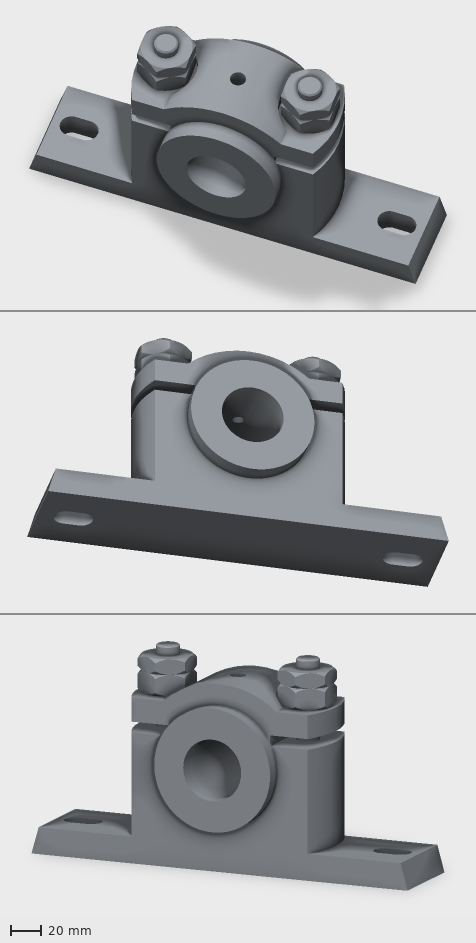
import cadquery as cq
import math


base_length = 272.2
base_height = 18.2
base_end_inset = 5.2
block_width = 60.0
slot_length = 26.5
slot_width = 15.8
slot_x = 112.0

block_half_length = 71.0
block_end_radius = 64.8
shaft_height = 71.3
housing_top = 88.7
cap_bottom = 96.0
cap_flat_top = 112.2
dome_top = 127.5
dome_radius = 63.5
dome_center = dome_top - dome_radius
tongue_width = 73.0
spotface_diameter = 42.0

bushing_length = 83.8
bushing_bore = 42.0
bushing_body_diameter = 57.2
flange_diameter = 83.8

oil_hole_diameter = 10.5
oil_duct_diameter = 7.5

stud_x = 50.5
stud_diameter = 16.0
stud_top = 144.0
stud_depth = 2 * stud_diameter
stud_bottom = housing_top - stud_depth
stud_chamfer = 1.0
nut_flats = 34.3
nut_corners = nut_flats / math.cos(math.pi / 6)
nut_offset_y = 1.0
main_nut_height = 14.7
lock_nut_height = 10.5


def upright_cylinder(diameter, bottom, top, x=0.0, y=0.0):
    return cq.Workplane("XY", origin=(x, y, bottom)).circle(diameter / 2).extrude(top - bottom)


def shaft_cylinder(diameter, length):
    """Cylinder on the shaft axis, centred on the block."""
    plane = cq.Workplane("XZ", origin=(0, length / 2, shaft_height))
    return plane.circle(diameter / 2).extrude(length)


def block_box(width, bottom, top):
    """Box across the full block width, centred on X = 0."""
    box = cq.Workplane("XY", origin=(0, 0, bottom))
    return box.rect(width, block_width).extrude(top - bottom)


def round_ended_block(bottom, top):
    """Block with flat faces along X and round ends."""
    half_width = block_width / 2
    end_sagitta = block_end_radius - math.sqrt(block_end_radius**2 - half_width**2)
    corner_x = block_half_length - end_sagitta
    return (
        cq.Workplane("XY", origin=(0, 0, bottom))
        .moveTo(-corner_x, -half_width)
        .lineTo(corner_x, -half_width)
        .threePointArc((block_half_length, 0), (corner_x, half_width))
        .lineTo(-corner_x, half_width)
        .threePointArc((-block_half_length, 0), (-corner_x, -half_width))
        .close()
        .extrude(top - bottom)
    )


def stud_holes():
    """Cutter for the close-fitting holes of both studs."""
    left = upright_cylinder(stud_diameter, stud_bottom, stud_top, -stud_x)
    return left.union(upright_cylinder(stud_diameter, stud_bottom, stud_top, stud_x))


def make_base_plate():
    half_bottom = base_length / 2
    half_top = half_bottom - base_end_inset
    plate = (
        cq.Workplane("XZ", origin=(0, block_width / 2, 0))
        .polyline([
            (-half_bottom, 0),
            (half_bottom, 0),
            (half_top, base_height),
            (-half_top, base_height),
        ])
        .close()
        .extrude(block_width)
    )
    slots = (
        cq.Workplane("XY")
        .pushPoints([(-slot_x, 0), (slot_x, 0)])
        .slot2D(slot_length, slot_width)
        .extrude(base_height)
    )
    return plate.cut(slots)


def make_housing():
    """Base and lower half of the block, with a notch for the tongue of the cap."""
    housing = make_base_plate().union(round_ended_block(0, housing_top))
    housing = housing.cut(block_box(tongue_width, shaft_height, housing_top))
    housing = housing.cut(shaft_cylinder(bushing_body_diameter, block_width))
    return housing.cut(stud_holes())


def make_cap():
    """Upper half of the block: two ears, a dome between them and a tongue below."""
    ears = round_ended_block(cap_bottom, cap_flat_top)
    dome = (
        cq.Workplane("XZ", origin=(0, block_width / 2, dome_center))
        .circle(dome_radius)
        .extrude(block_width)
        .intersect(block_box(2 * dome_radius, cap_flat_top, dome_top))
    )
    tongue = block_box(tongue_width, shaft_height, cap_bottom)
    cap = ears.union(dome).union(tongue)
    for x in (-stud_x, stud_x):
        cap = cap.cut(upright_cylinder(spotface_diameter, cap_flat_top, dome_top, x))
    cap = cap.cut(shaft_cylinder(bushing_body_diameter, block_width))
    cap = cap.cut(upright_cylinder(oil_hole_diameter, shaft_height, dome_top))
    return cap.cut(stud_holes())


def make_bushing():
    """Sleeve with a flange outside each face of the block and an oil duct on top."""
    bushing = shaft_cylinder(flange_diameter, bushing_length)
    groove = shaft_cylinder(flange_diameter, block_width)
    groove = groove.cut(shaft_cylinder(bushing_body_diameter, block_width))
    bushing = bushing.cut(groove).cut(shaft_cylinder(bushing_bore, bushing_length))
    return bushing.cut(upright_cylinder(oil_duct_diameter, shaft_height, dome_top))


def make_stud(x):
    return upright_cylinder(stud_diameter, stud_bottom, stud_top, x).faces(">Z").chamfer(stud_chamfer)


def make_nut(x, bottom, height):
    """Hexagon nut with two flats facing along X and corners bevelled at 45 degrees."""
    top = bottom + height
    bevel = (nut_corners - nut_flats) / 2
    hexagon = (
        cq.Workplane("XY", origin=(x, nut_offset_y, bottom))
        .transformed(rotate=(0, 0, 90))
        .polygon(6, nut_corners)
        .extrude(height)
    )
    bevelled_round = upright_cylinder(nut_corners, bottom, top, x, nut_offset_y)
    bevelled_round = bevelled_round.edges("%CIRCLE").chamfer(bevel)
    bore = upright_cylinder(stud_diameter, bottom, top, x)
    return hexagon.intersect(bevelled_round).cut(bore)


housing = make_housing()
cap = make_cap()
bushing = make_bushing()
studs = []
main_nuts = []
lock_nuts = []
for side_x in (-stud_x, stud_x):
    studs.append(make_stud(side_x).val())
    main_nuts.append(make_nut(side_x, cap_flat_top, main_nut_height).val())
    lock_nuts.append(make_nut(side_x, cap_flat_top + main_nut_height, lock_nut_height).val())

result = cq.Compound.makeCompound(
    [housing.val(), cap.val(), bushing.val(), *studs, *main_nuts, *lock_nuts]
)